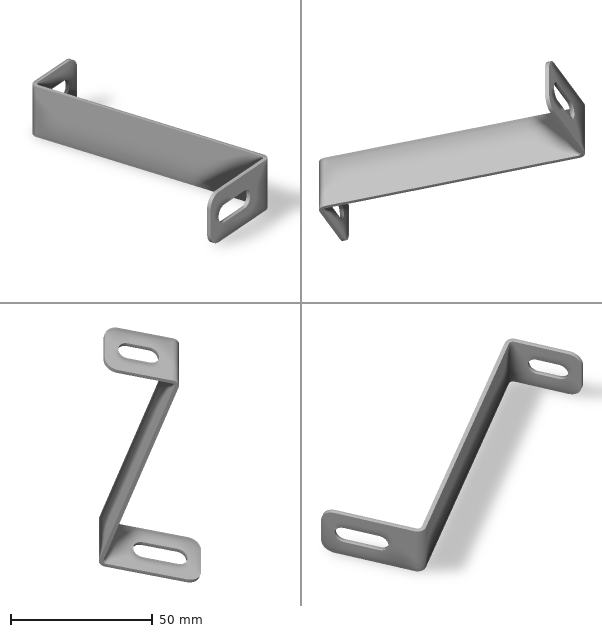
import cadquery as cq

length = 102.0
height = 20.0
thickness = 1.5
inner_bend_radius = 1.5
outer_bend_radius = inner_bend_radius + thickness
back_flange = 28.0
front_flange = 37.9
corner_radius = 5.0

slot_width = 7.0
slot_margin = 5.0
back_slot_length = 15.0
front_slot_length = 20.0

back_end = back_flange
front_end = thickness - front_flange


def bent_strip():
    """Strip of constant thickness with a rounded bend at each end of the web."""
    profile = [
        (0, back_end),
        (0, 0),
        (length - thickness, 0),
        (length - thickness, front_end),
        (length, front_end),
        (length, thickness),
        (thickness, thickness),
        (thickness, back_end),
    ]
    strip = cq.Workplane("XY").polyline(profile).close().extrude(height)
    for x, y, radius in [
        (0, 0, outer_bend_radius),
        (thickness, thickness, inner_bend_radius),
        (length, thickness, outer_bend_radius),
        (length - thickness, 0, inner_bend_radius),
    ]:
        bend_edge = cq.selectors.NearestToPointSelector((x, y, height / 2))
        strip = strip.edges("|Z").edges(bend_edge).fillet(radius)
    return strip


def slot_cutter(x, y_center, slot_length):
    """Round-ended slot along Y, through the flange whose outer -X face is at x."""
    return (
        cq.Workplane("YZ", origin=(x, y_center, height / 2))
        .slot2D(slot_length, slot_width)
        .extrude(thickness)
    )


bracket = bent_strip()

bracket = bracket.faces("<Y or >Y").edges("|X").fillet(corner_radius)

back_slot_center = back_end - slot_margin - back_slot_length / 2
front_slot_center = front_end + slot_margin + front_slot_length / 2
bracket = bracket.cut(slot_cutter(0, back_slot_center, back_slot_length))
bracket = bracket.cut(slot_cutter(length - thickness, front_slot_center, front_slot_length))

result = bracket